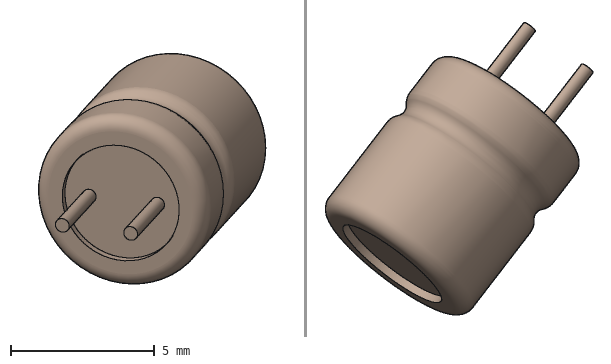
import cadquery as cq
import math

overall_length = 9.71
can_diameter = 6.3
lead_length = 2.7
lead_diameter = 0.505
lead_pitch = 2.51

rim_radius = 0.505
recess_depth = 0.3
groove_center = 2.46
groove_depth = 0.25
groove_arc_radius = 0.505

can_length = overall_length - lead_length
can_radius = can_diameter / 2
recess_radius = can_radius - 2 * rim_radius


def make_can():
    """Revolve the half profile, with a smooth S-shaped groove in the side."""
    quarter_drop = groove_depth / 2
    quarter_run = math.sqrt(groove_arc_radius**2 - (groove_arc_radius - quarter_drop) ** 2)
    shoulder_radius = can_radius - quarter_drop
    valley_radius = can_radius - groove_depth
    rim_start = can_radius - rim_radius

    profile = (
        cq.Workplane("XY")
        .lineTo(rim_start, 0)
        .tangentArcPoint((can_radius, rim_radius), relative=False)
        .lineTo(can_radius, groove_center - 2 * quarter_run)
        .tangentArcPoint((shoulder_radius, groove_center - quarter_run), relative=False)
        .tangentArcPoint((valley_radius, groove_center), relative=False)
        .tangentArcPoint((shoulder_radius, groove_center + quarter_run), relative=False)
        .tangentArcPoint((can_radius, groove_center + 2 * quarter_run), relative=False)
        .lineTo(can_radius, can_length - rim_radius)
        .tangentArcPoint((rim_start, can_length), relative=False)
        .lineTo(0, can_length)
        .close()
    )
    return profile.revolve(360, (0, 0, 0), (0, 1, 0))


def y_cylinder(radius, x, y_start, length):
    """Cylinder running from y_start toward +Y."""
    return cq.Workplane(cq.Solid.makeCylinder(radius, length, cq.Vector(x, y_start, 0), cq.Vector(0, 1, 0)))


result = make_can()

for recess_start in (0, can_length - recess_depth):
    result = result.cut(y_cylinder(recess_radius, 0, recess_start, recess_depth))

for lead_x in (-lead_pitch / 2, lead_pitch / 2):
    lead = y_cylinder(lead_diameter / 2, lead_x, -lead_length, lead_length + recess_depth)
    result = result.union(lead)